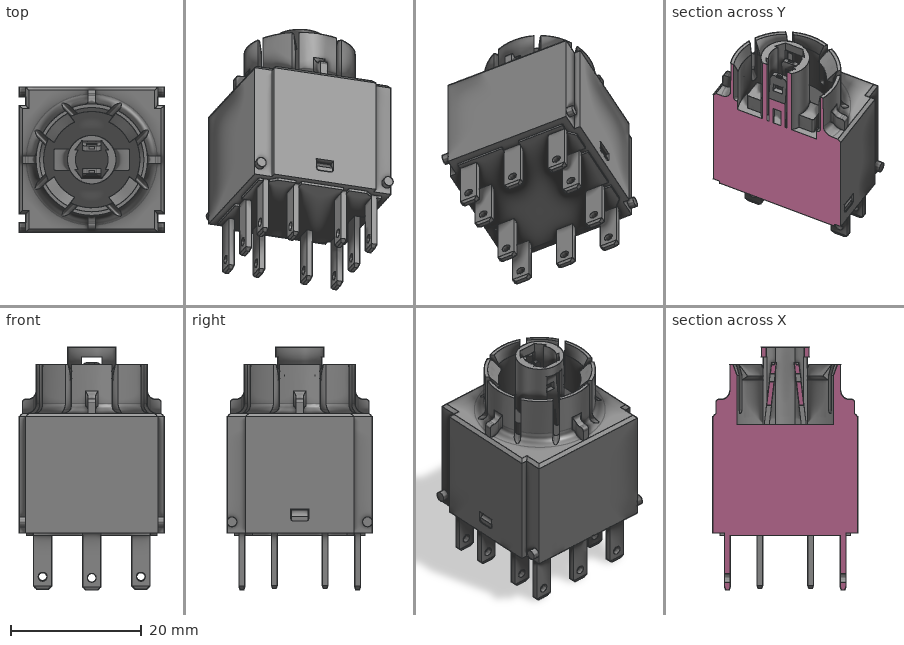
import cadquery as cq
import math

overall_height = 37.11

body_size = 22.2
body_height = 18.25
body_chamfer = 0.5
notch_x = 1.0
notch_y = 2.8
body_half = body_size / 2
corner_x = body_half - notch_x
corner_y = body_half - notch_y

plate_half = 10.0
plate_inner_x = 8.95
plate_step_y = corner_y
plate_bevel = plate_half - plate_inner_x
plate_thickness = 0.4

peg_diameter = 1.5
peg_z = 1.7
peg_y = body_half - peg_diameter / 2

window_width = 2.8
window_bottom = 1.8
window_top = 3.65
window_radius = 0.5
window_depth = 1.2
latch_clearance = 0.12
latch_recess = 0.15
latch_edge_z = 2.52

collar_top = 25.75
collar_radius = 8.51
well_radius = 7.35
well_floor = 16.6
root_radius = 1.5
rim_radius = 7.96
rim_taper = 1.7
claw_radius = 6.3
claw_drop = 1.8
claw_underside = 0.6
claw_tip_half_width = 2.22
slot_inner_offset = 2.45
slot_width = 1.0
slot_offset = slot_inner_offset + slot_width / 2
slot_floor_clearance = 0.03
slot_bottom = body_height + slot_floor_clearance

rib_width = 1.1
rib_reach = 10.6
rib_top = 20.43
rib_nose_radius = 0.5
rib_side_fillet = 0.4
rib_top_fillet = 1.25

column_top = 28.38
column_radius = 3.7
slot_top = 26.84
slot_half = 1.54
cavity_half_y = 2.87
cavity_end_half_x = 1.5
cavity_tip_x = 2.57
cavity_shoulder_x = 2.08
cavity_shoulder_y = 1.48
cavity_bulge_x = 2.5
tab_reach = 5.8
tab_width = 3.3
tab_top = 19.2
tab_radius = 0.3

tongue_top = 26.0
tongue_half_width = 1.42
tongue_thickness = 0.76
tongue_top_y = 2.1
tongue_base_y = 3.2
tongue_corner_radius = 0.7
tongue_hole_width = 1.6
tongue_hole_bottom = 23.1
tongue_hole_top = 24.3
tongue_foot_slot_width = 1.3
tongue_foot_slot_top = 19.5
tongue_notch_width = 0.9
tongue_notch_inner_y = 1.65
tongue_notch_outer_y = 2.0
tongue_notch_depth = 0.3

pin_width = 2.8
pin_thickness = 0.9
pin_taper_height = 0.5
pin_width_inset = 0.5
pin_thickness_inset = 0.17
pin_hole_diameter = 1.3
pin_hole_from_tip = 1.89
pin_pitch_x = 7.5
outer_row_y = 8.83
inner_row_y = 3.87
center_pin_length = overall_height - column_top
pin_length_step = 0.12
outer_pin_length = center_pin_length - pin_length_step
inner_pin_length = outer_pin_length - pin_length_step


def block(x_min, x_max, y_min, y_max, z_min, z_max):
    """Axis-aligned box given by its limits."""
    return cq.Workplane("XY").box(
        x_max - x_min, y_max - y_min, z_max - z_min, centered=False
    ).translate((x_min, y_min, z_min))


def quarter_turns(shape, start=0):
    """Union of four copies of a shape, spaced 90 degrees around Z."""
    ring = shape.rotate((0, 0, 0), (0, 0, 1), start)
    for turn in range(1, 4):
        ring = ring.union(shape.rotate((0, 0, 0), (0, 0, 1), start + 90 * turn))
    return ring


def both_ends(shape):
    """Shape together with its copy turned half way around Z."""
    return shape.union(shape.rotate((0, 0, 0), (0, 0, 1), 180))


def make_body():
    wide = block(-body_half, body_half, -corner_y, corner_y, 0, body_height)
    deep = block(-corner_x, corner_x, -body_half, body_half, 0, body_height)
    return wide.union(deep).faces(">Z").edges().chamfer(body_chamfer)


def make_plate():
    quarter = [
        (plate_half, plate_step_y - plate_bevel),
        (plate_inner_x, plate_step_y),
        (plate_inner_x, plate_half),
    ]
    outline = quarter + [(-x, y) for x, y in reversed(quarter)]
    outline += [(-x, -y) for x, y in outline]
    plate = cq.Workplane("XY").polyline(outline).close().extrude(-plate_thickness)
    return plate.cut(make_plate_notches())


def make_plate_notches():
    """Notches that run from the terminals out to the edge of the plate."""
    half_width = pin_width / 2
    half_thickness = pin_thickness / 2
    notches = block(-half_width, half_width, outer_row_y, plate_half, -plate_thickness, 0)
    for row_y in (outer_row_y, inner_row_y):
        for pin_x in (-pin_pitch_x, pin_pitch_x):
            edge_x = math.copysign(plate_half, pin_x)
            notches = notches.union(
                block(
                    min(pin_x, edge_x),
                    max(pin_x, edge_x),
                    row_y - half_thickness,
                    row_y + half_thickness,
                    -plate_thickness,
                    0,
                )
            )
    return both_ends(notches)


def make_pegs():
    centers = [(-peg_y, peg_z), (peg_y, peg_z)]
    return (
        cq.Workplane("YZ", origin=(-body_half, 0, 0))
        .pushPoints(centers)
        .circle(peg_diameter / 2)
        .extrude(body_size)
    )


def make_snap_window():
    """Opening in the -X side."""
    back_x = -body_half + window_depth
    half = window_width / 2
    window = block(-body_half, back_x, -half, half, window_bottom, window_top)
    return window.faces("<Z").edges("|X").fillet(window_radius)


def make_latch():
    """Tooth with an upright face and a sloping top, inside the -X window."""
    face_x = -body_half + latch_recess
    back_x = -body_half + window_depth
    profile = [
        (face_x, window_bottom),
        (face_x, latch_edge_z),
        (back_x, window_top - latch_clearance),
        (back_x, window_bottom),
    ]
    width = window_width - 2 * latch_clearance
    tooth = cq.Workplane("XZ").polyline(profile).close().extrude(width / 2, both=True)
    return tooth.intersect(make_snap_window())


def make_collar():
    """Solid collar with its concave root fillet, before the well is cut."""
    root_outer = collar_radius + root_radius
    root_top = body_height + root_radius
    bend = root_radius * math.sqrt(0.5)
    return (
        cq.Workplane("XZ")
        .moveTo(0, well_floor)
        .lineTo(root_outer, well_floor)
        .lineTo(root_outer, body_height)
        .threePointArc((root_outer - bend, root_top - bend), (collar_radius, root_top))
        .lineTo(collar_radius, collar_top)
        .lineTo(0, collar_top)
        .close()
        .revolve(360, (0, 0, 0), (0, 1, 0))
    )


def make_well():
    """Well with a flared rim."""
    profile = [
        (0, well_floor),
        (well_radius, well_floor),
        (well_radius, collar_top - rim_taper),
        (rim_radius, collar_top),
        (0, collar_top),
    ]
    return cq.Workplane("XZ").polyline(profile).close().revolve(360, (0, 0, 0), (0, 1, 0))


def make_claws():
    """Four inward hooks, narrower towards their tips, on the diagonal wall segments."""
    claw_z = collar_top - claw_drop
    root_z = claw_z - claw_underside
    profile = [
        (rim_radius, collar_top),
        (claw_radius, claw_z),
        (well_radius, root_z),
        (rim_radius, root_z),
    ]
    ring = cq.Workplane("XZ").polyline(profile).close().revolve(360, (0, 0, 0), (0, 1, 0))
    tip_x = math.sqrt(claw_radius**2 - claw_tip_half_width**2)
    root_x = math.sqrt(rim_radius**2 - slot_inner_offset**2)
    sector = (
        cq.Workplane("XY", origin=(0, 0, root_z))
        .moveTo(tip_x, -claw_tip_half_width)
        .lineTo(root_x, -slot_inner_offset)
        .lineTo(rim_radius, -slot_inner_offset)
        .lineTo(rim_radius, slot_inner_offset)
        .lineTo(root_x, slot_inner_offset)
        .lineTo(tip_x, claw_tip_half_width)
        .threePointArc((claw_radius, 0), (tip_x, -claw_tip_half_width))
        .close()
        .extrude(collar_top - root_z)
    )
    return quarter_turns(ring.intersect(sector), 45)


def make_collar_slots():
    """Pairs of round-bottomed slots that run parallel to the diagonals."""
    slot_radius = slot_width / 2
    axis_z = slot_bottom + slot_radius
    half_length = body_half
    slots = None
    for offset in (-slot_offset, slot_offset):
        cut = block(0, half_length, offset - slot_radius, offset + slot_radius, axis_z, collar_top)
        groove = cq.Workplane("YZ").center(offset, axis_z).circle(slot_radius).extrude(half_length)
        cut = cut.union(groove)
        slots = cut if slots is None else slots.union(cut)
    return quarter_turns(slots, 45)


def make_ribs():
    """Ribs that flare into the collar through concave fillets."""
    inner_x = (well_radius + collar_radius) / 2
    fillet_top = rib_top + rib_top_fillet
    nose_bend = rib_nose_radius * (1 - math.sqrt(0.5))
    top_bend = rib_top_fillet * (1 - math.sqrt(0.5))
    side = (
        cq.Workplane("XZ")
        .moveTo(inner_x, body_height)
        .lineTo(rib_reach, body_height)
        .lineTo(rib_reach, rib_top - rib_nose_radius)
        .threePointArc(
            (rib_reach - nose_bend, rib_top - nose_bend), (rib_reach - rib_nose_radius, rib_top)
        )
        .lineTo(collar_radius + rib_top_fillet, rib_top)
        .threePointArc(
            (collar_radius + top_bend, rib_top + top_bend), (collar_radius, fillet_top)
        )
        .lineTo(inner_x, fillet_top)
        .close()
        .extrude(rib_width, both=True)
    )
    half = rib_width / 2
    flare = half + rib_side_fillet
    side_bend = rib_side_fillet * (1 - math.sqrt(0.5))
    straight_x = collar_radius + rib_side_fillet
    plan = (
        cq.Workplane("XY", origin=(0, 0, body_height))
        .moveTo(inner_x, -flare)
        .lineTo(collar_radius, -flare)
        .threePointArc((collar_radius + side_bend, -half - side_bend), (straight_x, -half))
        .lineTo(rib_reach, -half)
        .lineTo(rib_reach, half)
        .lineTo(straight_x, half)
        .threePointArc((collar_radius + side_bend, half + side_bend), (collar_radius, flare))
        .lineTo(inner_x, flare)
        .close()
        .extrude(fillet_top - body_height)
    )
    return quarter_turns(side.intersect(plan))


def make_column():
    """Hollow round column with a slot through it along Y and a tab on each X side."""
    height = column_top - well_floor
    base = cq.Workplane("XY", origin=(0, 0, well_floor))
    column = base.circle(column_radius).extrude(height)
    tabs = base.rect(2 * tab_reach, tab_width).extrude(tab_top - well_floor)
    column = column.union(tabs.edges("|Z").fillet(tab_radius))
    cavity = (
        base.moveTo(-cavity_end_half_x, cavity_half_y)
        .lineTo(cavity_end_half_x, cavity_half_y)
        .lineTo(cavity_tip_x, cavity_shoulder_y)
        .lineTo(cavity_shoulder_x, cavity_shoulder_y)
        .threePointArc((cavity_bulge_x, 0), (cavity_shoulder_x, -cavity_shoulder_y))
        .lineTo(cavity_tip_x, -cavity_shoulder_y)
        .lineTo(cavity_end_half_x, -cavity_half_y)
        .lineTo(-cavity_end_half_x, -cavity_half_y)
        .lineTo(-cavity_tip_x, -cavity_shoulder_y)
        .lineTo(-cavity_shoulder_x, -cavity_shoulder_y)
        .threePointArc((-cavity_bulge_x, 0), (-cavity_shoulder_x, cavity_shoulder_y))
        .lineTo(-cavity_tip_x, cavity_shoulder_y)
        .close()
        .extrude(height)
    )
    slot = block(-slot_half, slot_half, -column_radius, column_radius, well_floor, slot_top)
    return column.cut(cavity).cut(slot)


def make_tongues():
    """Two tongues with sloping outer faces, each with a cross hole and a top notch."""
    profile = [
        (tongue_base_y - tongue_thickness, well_floor),
        (tongue_base_y, well_floor),
        (tongue_top_y, tongue_top),
        (tongue_top_y - tongue_thickness, tongue_top),
    ]
    half = tongue_half_width
    tongue = cq.Workplane("YZ").polyline(profile).close().extrude(half, both=True)
    front = block(-half, half, 0, tongue_base_y, well_floor, tongue_top)
    tongue = tongue.intersect(front.faces(">Z").edges("|Y").fillet(tongue_corner_radius))
    hole_half = tongue_hole_width / 2
    hole = block(-hole_half, hole_half, 0, tongue_base_y, tongue_hole_bottom, tongue_hole_top)
    foot_half = tongue_foot_slot_width / 2
    foot_slot = block(-foot_half, foot_half, 0, tongue_base_y, well_floor, tongue_foot_slot_top)
    notch_half = tongue_notch_width / 2
    notch = block(
        -notch_half,
        notch_half,
        tongue_notch_inner_y,
        tongue_notch_outer_y,
        tongue_top - tongue_notch_depth,
        tongue_top,
    )
    return both_ends(tongue.cut(hole).cut(foot_slot).cut(notch))


def tapered_outline(plane, width, inset, length):
    """Terminal outline with a tapered tip, hanging down from Z = 0."""
    half = width / 2
    shoulder = -length + pin_taper_height
    outline = [
        (-half, 0),
        (-half, shoulder),
        (-half + inset, -length),
        (half - inset, -length),
        (half, shoulder),
        (half, 0),
    ]
    return cq.Workplane(plane).polyline(outline).close().extrude(pin_width, both=True)


def make_pin(x, y, length):
    pin = tapered_outline("XZ", pin_width, pin_width_inset, length).intersect(
        tapered_outline("YZ", pin_thickness, pin_thickness_inset, length)
    )
    hole = (
        cq.Workplane("XZ")
        .center(0, -length + pin_hole_from_tip)
        .circle(pin_hole_diameter / 2)
        .extrude(pin_thickness, both=True)
    )
    return pin.cut(hole).translate((x, y, 0))


part = make_body().union(make_plate()).union(make_pegs())
part = part.cut(both_ends(make_snap_window())).union(both_ends(make_latch()))
part = part.union(make_collar()).union(make_ribs()).cut(make_well())
part = part.union(make_claws()).cut(make_collar_slots())
part = part.union(make_column()).union(make_tongues())
for side_y in (-1, 1):
    part = part.union(make_pin(0, side_y * outer_row_y, center_pin_length))
    for side_x in (-1, 1):
        pin_x = side_x * pin_pitch_x
        part = part.union(make_pin(pin_x, side_y * outer_row_y, outer_pin_length))
        part = part.union(make_pin(pin_x, side_y * inner_row_y, inner_pin_length))

result = part